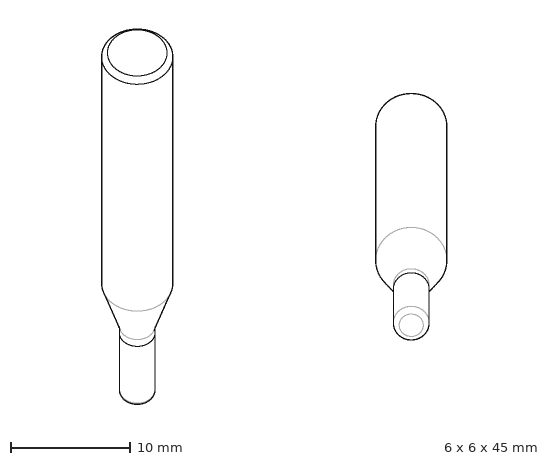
import cadquery as cq

TOTAL_LENGTH = 45.0
SHANK_RADIUS = 6.0 / 2
TIP_RADIUS = 3.0 / 2

CUTTER_TOP = 8.0
CONE_BOTTOM = 8.9
CONE_TOP = 14.5

SHANK_CHAMFER = 0.5
TIP_CORNER_RADIUS = 0.5


def make_cutter():
    """Cylindrical cutting end with a rounded bottom corner."""
    cutter = cq.Workplane("XY").circle(TIP_RADIUS).extrude(CUTTER_TOP)
    return cutter.faces("<Z").edges().fillet(TIP_CORNER_RADIUS)


def make_shank():
    """Short neck, cone and chamfered shank, turned about Z."""
    profile = (
        cq.Workplane("XZ")
        .moveTo(0, CUTTER_TOP)
        .lineTo(TIP_RADIUS, CUTTER_TOP)
        .lineTo(TIP_RADIUS, CONE_BOTTOM)
        .lineTo(SHANK_RADIUS, CONE_TOP)
        .lineTo(SHANK_RADIUS, TOTAL_LENGTH - SHANK_CHAMFER)
        .lineTo(SHANK_RADIUS - SHANK_CHAMFER, TOTAL_LENGTH)
        .lineTo(0, TOTAL_LENGTH)
        .close()
    )
    return profile.revolve(360, (0, 0, 0), (0, 1, 0))


cutter = make_cutter()
shank = make_shank()

result = cq.Compound.makeCompound([cutter.val(), shank.val()])